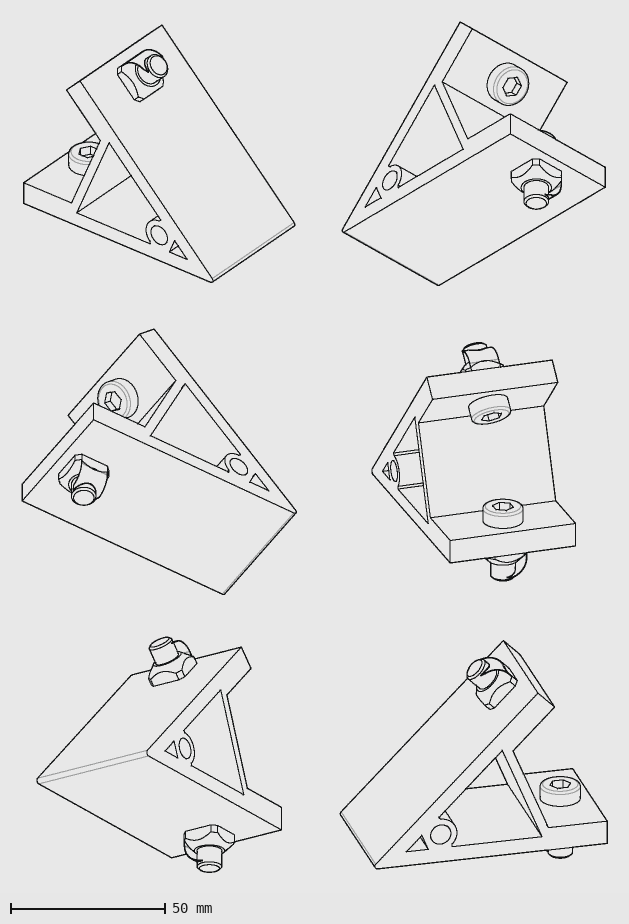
import cadquery as cq
import math


overall_length = 78.0
bracket_width = 43.0
corner_angle = 45.0
tip_radius = 1.0
flange_thickness = 7.95
wall_thickness = 5.0
strut_distance = 55.1
strut_thickness = 3.1
tube_distance = 25.5
tube_diameter = 10.85
tube_bore = 6.8
neck_angle = 45.0
window_distance = 19.8

bolt_inset = 10.0
clearance_diameter = 9.0
shank_diameter = 8.0
shank_tip_diameter = 6.6
shank_length = 19.9
head_diameter = 13.0
head_height = 5.0
head_rounding = 0.8
socket_flats = 6.0
socket_depth = 3.05

nut_size = head_diameter
nut_flat = 9.9
nut_height = 5.7
nut_end_diameter = 9.8
spring_thickness = 0.2
spring_bend_height = 4.05
spring_end_width = 8.3
spring_taper_length = 1.6

corner = math.radians(corner_angle)
half_corner = corner / 2
apex_x = overall_length + tip_radius * (1 / math.tan(half_corner) - 1)
half_width = bracket_width / 2
bolt_distance = apex_x - bolt_inset


def on_base(distance, height):
    """Point of the base, at a distance from the apex and a height above the outer face."""
    return (apex_x - distance, height)


def on_arm(distance, height):
    """Mirror image of on_base across the bisector of the corner."""
    x = apex_x - distance * math.cos(corner) - height * math.sin(corner)
    z = distance * math.sin(corner) - height * math.cos(corner)
    return (x, z)


def distance_at(height, bisector_distance):
    """Distance along the base where a line square to the bisector reaches the given height."""
    return (bisector_distance - height * math.sin(half_corner)) / math.cos(half_corner)


def make_seat(point, x_direction, normal):
    return cq.Plane(origin=(point[0], 0, point[1]), xDir=x_direction, normal=normal)


base_seat = make_seat(on_base(bolt_distance, 0), (-1, 0, 0), (0, 0, -1))
arm_seat = make_seat(
    on_arm(bolt_distance, 0),
    (-math.cos(corner), 0, math.sin(corner)),
    (math.sin(corner), 0, math.cos(corner)),
)
seats = [base_seat, arm_seat]


def prism(points):
    """Polygon in the XZ plane, extruded over the full width of the bracket."""
    return cq.Workplane("XZ").polyline(points).close().extrude(half_width, both=True)


def cross_cylinder(center, diameter):
    return cq.Workplane("XZ").center(*center).circle(diameter / 2).extrude(half_width, both=True)


def make_outer_shape():
    """Base, arm and strut as one solid prism with a rounded corner."""
    flange_end = apex_x
    strut = distance_at(flange_thickness, strut_distance + strut_thickness)
    shape = prism(
        [
            (apex_x, 0),
            on_base(flange_end, 0),
            on_base(flange_end, flange_thickness),
            on_base(strut, flange_thickness),
            on_arm(strut, flange_thickness),
            on_arm(flange_end, flange_thickness),
            on_arm(flange_end, 0),
        ]
    )
    tip_edge = cq.selectors.NearestToPointSelector((apex_x, 0, 0))
    return shape.edges(tip_edge).fillet(tip_radius)


def make_large_window(tube_center):
    """Opening between the strut and the cross tube, with neck walls square to base and arm."""
    strut = distance_at(wall_thickness, strut_distance)
    neck = apex_x - tube_center[0] + tube_diameter / 2 * math.cos(math.radians(neck_angle))
    neck_top = tube_center[1]
    window = prism(
        [
            on_base(strut, wall_thickness),
            on_arm(strut, wall_thickness),
            on_arm(neck, wall_thickness),
            on_arm(neck, neck_top),
            on_base(neck, neck_top),
            on_base(neck, wall_thickness),
        ]
    )
    return window.cut(cross_cylinder(tube_center, tube_diameter))


def make_small_window():
    """Triangular opening between the cross tube and the sharp corner."""
    far_side = distance_at(wall_thickness, window_distance)
    inner_corner = on_base(wall_thickness / math.tan(half_corner), wall_thickness)
    return prism(
        [on_base(far_side, wall_thickness), on_arm(far_side, wall_thickness), inner_corner]
    )


def make_bracket():
    tube_center = on_base(
        tube_distance * math.cos(half_corner), tube_distance * math.sin(half_corner)
    )
    body = make_outer_shape()
    body = body.cut(make_large_window(tube_center))
    body = body.cut(make_small_window())
    body = body.cut(cross_cylinder(tube_center, tube_bore))
    for seat in seats:
        hole = cq.Workplane(seat).circle(clearance_diameter / 2).extrude(-flange_thickness)
        body = body.cut(hole)
    return body.val()


def make_bolt(seat):
    """Low-head socket screw with its head on the inner face of the flange."""
    head_seat = cq.Workplane("XY").workplane(offset=-flange_thickness)
    shank = head_seat.circle(shank_diameter / 2).extrude(shank_length)
    shank = shank.faces(">Z").chamfer((shank_diameter - shank_tip_diameter) / 2)
    head = head_seat.circle(head_diameter / 2).extrude(-head_height)
    head = head.faces("<Z").edges().fillet(head_rounding)
    socket_corners = socket_flats / math.cos(math.radians(30))
    socket = head_seat.workplane(offset=-head_height).polygon(6, socket_corners)
    bolt = head.cut(socket.extrude(socket_depth)).union(shank)
    return bolt.val().moved(seat.location)


def make_nut_block():
    """Square nut with cut corners and a 45 degree cone at its outer end."""
    block = cq.Workplane("XY").rect(nut_size, nut_size).extrude(nut_height)
    block = block.edges("|Z").chamfer((nut_size - nut_flat) / 2)
    end_radius = nut_end_diameter / 2
    cone = (
        cq.Workplane("XZ")
        .polyline([(0, 0), (end_radius + nut_height, 0), (end_radius, nut_height), (0, nut_height)])
        .close()
        .revolve(360, (0, 0), (0, 1))
    )
    return block.intersect(cone)


def make_leaf_spring():
    """Thin strip along the +X side of the nut, bent a quarter turn to the screw axis."""
    outer = nut_size / 2
    inner = outer - spring_thickness
    bend = spring_bend_height
    diagonal = math.sqrt(0.5)
    strip = (
        cq.Workplane("XZ")
        .moveTo(inner, 0)
        .lineTo(outer, 0)
        .lineTo(outer, bend)
        .threePointArc((outer * diagonal, bend + outer * diagonal), (0, bend + outer))
        .lineTo(0, bend + inner)
        .threePointArc((inner * diagonal, bend + inner * diagonal), (inner, bend))
        .close()
        .extrude(nut_flat / 2, both=True)
    )
    tapered_plan = (
        cq.Workplane("XY")
        .polyline(
            [
                (0, -spring_end_width / 2),
                (spring_taper_length, -nut_flat / 2),
                (outer, -nut_flat / 2),
                (outer, nut_flat / 2),
                (spring_taper_length, nut_flat / 2),
                (0, spring_end_width / 2),
            ]
        )
        .close()
        .extrude(bend + outer)
    )
    return strip.intersect(tapered_plan)


def make_nut(seat, spring_turn):
    """Spring nut, turned about the screw axis so that the spring is on the wanted side."""
    hole = cq.Workplane("XY").circle(shank_diameter / 2).extrude(shank_length)
    nut = make_nut_block().union(make_leaf_spring()).cut(hole)
    nut = nut.rotate((0, 0, 0), (0, 0, 1), spring_turn)
    return nut.val().moved(seat.location)


bracket = make_bracket()
bolts = [make_bolt(seat) for seat in seats]
nuts = [make_nut(seat, turn) for seat, turn in [(base_seat, -90), (arm_seat, 0)]]

result = cq.Compound.makeCompound([bracket, *bolts, *nuts])